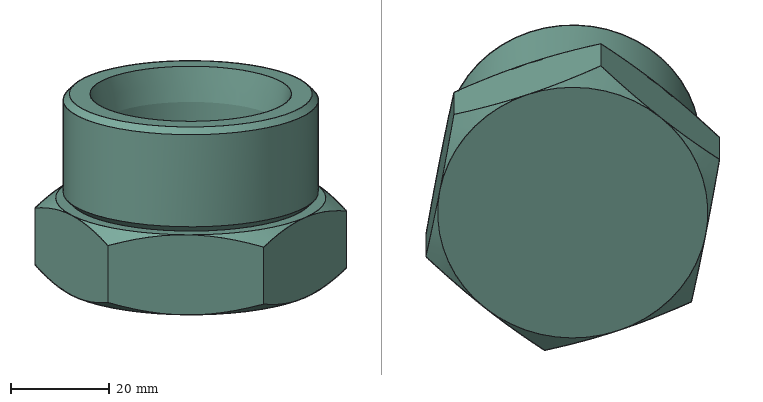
import cadquery as cq
import math

corner_width = 63.5
total_height = 39.0
hex_height = 16.95
collar_diameter = 52.0
collar_chamfer = 1.3
bore_diameter = 38.0
bore_depth = 16.1
seat_depth = 7.2
seat_half_angle = 12.0
hex_chamfer_angle = 30.0

corner_radius = corner_width / 2
flat_radius = corner_radius * math.cos(math.radians(30))
hex_chamfer_drop = (corner_radius - flat_radius) * math.tan(math.radians(hex_chamfer_angle))
bore_radius = bore_diameter / 2
seat_radius = bore_radius + seat_depth * math.tan(math.radians(seat_half_angle))


def revolve_profile(points):
    """Revolve a closed (radius, height) outline around the Z axis."""
    return cq.Workplane("XZ").polyline(points).close().revolve(360, (0, 0), (0, 1))


def make_hexagon():
    """Hexagonal base whose corners are cut by a cone at both ends."""
    prism = (
        cq.Workplane("XY")
        .polygon(6, corner_width)
        .extrude(hex_height)
        .rotate((0, 0, 0), (0, 0, 1), 30)
    )
    envelope = revolve_profile([
        (0, 0),
        (flat_radius, 0),
        (corner_radius, hex_chamfer_drop),
        (corner_radius, hex_height - hex_chamfer_drop),
        (flat_radius, hex_height),
        (0, hex_height),
    ])
    return prism.intersect(envelope)


def make_collar():
    """Round collar on the base, chamfered at its top and bottom edges."""
    return (
        cq.Workplane("XY", origin=(0, 0, hex_height))
        .circle(collar_diameter / 2)
        .extrude(total_height - hex_height)
        .faces("<Z or >Z")
        .chamfer(collar_chamfer)
    )


def make_bore():
    """Blind flat-bottomed bore with a conical seat at its mouth."""
    return revolve_profile([
        (0, total_height - bore_depth),
        (bore_radius, total_height - bore_depth),
        (bore_radius, total_height - seat_depth),
        (seat_radius, total_height),
        (0, total_height),
    ])


result = make_hexagon().union(make_collar()).cut(make_bore())